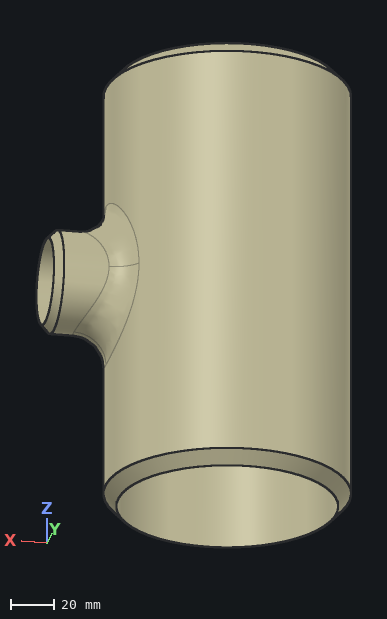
import cadquery as cq

run_length = 209.5
run_diameter = 114.2
run_bore = 102.3
run_bevel_height = 6.3

branch_diameter = 48.2
branch_bore = 40.2
branch_reach = 85.7
branch_bevel_length = 4.0
blend_radius = 15.0


def bevelled_bar(plane, start, end, diameter, end_diameter, bevel_length):
    """Round bar along the normal of plane, tapering to end_diameter at both ends."""
    radius = diameter / 2
    end_radius = end_diameter / 2
    profile = (
        cq.Workplane("XY")
        .moveTo(0, start)
        .lineTo(end_radius, start)
        .lineTo(radius, start + bevel_length)
        .lineTo(radius, end - bevel_length)
        .lineTo(end_radius, end)
        .lineTo(0, end)
        .close()
    )
    bar = profile.revolve(360, (0, 0, 0), (0, 1, 0)).rotate((0, 0, 0), (1, 0, 0), 90)
    return cq.Workplane(obj=bar.val().moved(cq.Location(cq.Plane.named(plane))))


run = bevelled_bar("XY", -run_length / 2, run_length / 2, run_diameter, run_bore, run_bevel_height)
branch = bevelled_bar("YZ", 0, branch_reach, branch_diameter, branch_bore, branch_bevel_length)
tee = run.union(branch)

seam_zone = cq.selectors.BoxSelector(
    (0, -branch_diameter, -branch_diameter),
    ((run_diameter / 2 + branch_reach) / 2, branch_diameter, branch_diameter),
    boundingbox=True,
)
tee = tee.edges(seam_zone).edges("not %LINE").fillet(blend_radius)

run_hole = cq.Workplane("XY").circle(run_bore / 2).extrude(run_length / 2, both=True)
branch_hole = cq.Workplane("YZ").circle(branch_bore / 2).extrude(branch_reach)
result = tee.cut(run_hole).cut(branch_hole)